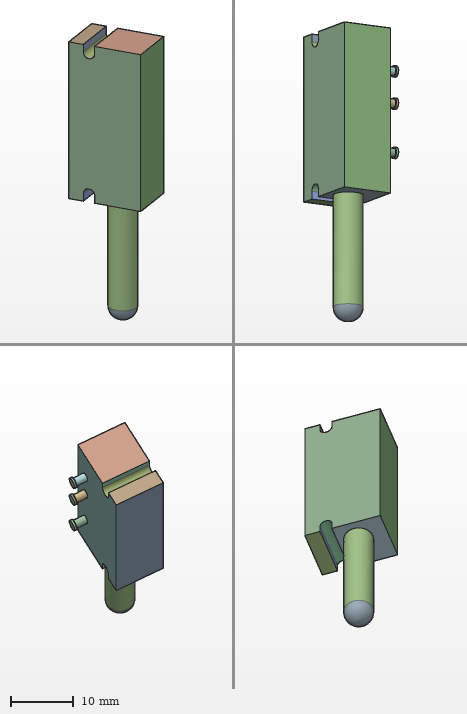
import cadquery as cq

body_width = 12.7
body_depth = 8.55
body_height = 26.95
total_height = 47.5

slot_x = 3.55
slot_width = 2.0
slot_depth = 2.3

plunger_x = 7.85
plunger_y = 3.55
plunger_diameter = 4.8
plunger_length = total_height - body_height
tip_height = 2.35

pin_x = 10.1
pin_drops = (6.3, 11.6, 19.6)
pin_diameter = 1.42
pin_length = 2.45
head_diameter = 1.85
head_thickness = 0.45


def make_slot(face_z, inward):
    """Full-depth slot with a round floor, cut from face_z along inward (+1 or -1)."""
    radius = slot_width / 2
    center_z = face_z + inward * (slot_depth - radius)
    return (
        cq.Workplane("XZ")
        .moveTo(slot_x - radius, face_z)
        .lineTo(slot_x - radius, center_z)
        .threePointArc((slot_x, face_z + inward * slot_depth), (slot_x + radius, center_z))
        .lineTo(slot_x + radius, face_z)
        .close()
        .extrude(-body_depth)
    )


def make_plunger():
    """Cylinder hanging from the bottom face, its lower edge rounded into a dome."""
    return (
        cq.Workplane("XY")
        .center(plunger_x, plunger_y)
        .circle(plunger_diameter / 2)
        .extrude(-plunger_length)
        .faces("<Z")
        .edges()
        .fillet(tip_height)
    )


def make_pin(drop):
    """Terminal pin with a wider disc at its free end."""
    rear_face = cq.Workplane("XZ", origin=(pin_x, body_depth, body_height - drop))
    shaft = rear_face.circle(pin_diameter / 2).extrude(-pin_length)
    head = (
        rear_face.workplane(offset=head_thickness - pin_length)
        .circle(head_diameter / 2)
        .extrude(-head_thickness)
    )
    return shaft.union(head)


result = cq.Workplane("XY").box(body_width, body_depth, body_height, centered=False)
result = result.cut(make_slot(0, 1)).cut(make_slot(body_height, -1))
result = result.union(make_plunger())
for pin_drop in pin_drops:
    result = result.union(make_pin(pin_drop))